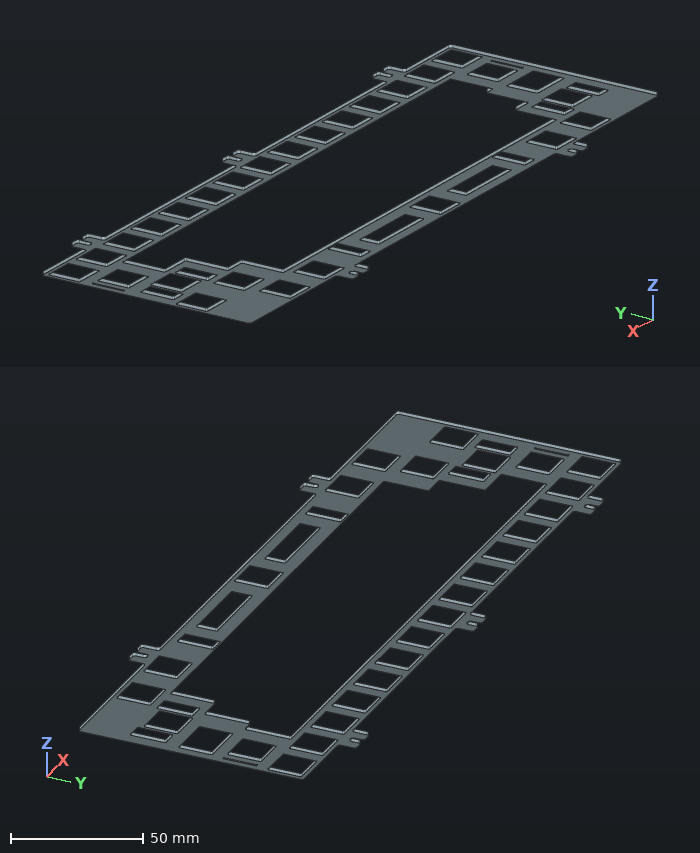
import cadquery as cq


length = 284.7
overall_depth = 108.2
plate_depth = 93.7
thickness = 1.5
plate_corner_radius = 1.0
opening_corner_radius = 0.5

columns = 15
column_span = 266.8
key_unit = column_span / (columns - 1)
last_column = (columns - 1) / 2
number_row, tab_row, caps_row, shift_row, space_row = 2, 1, 0, -1, -2

tab_column = 6.75
enter_column = 6.375
left_shift_column = -6.375
right_shift_column = 5.625
space_bar_column = 0

switch_size = 14.0
switch_places = [(index - last_column, number_row) for index in range(columns)]
switch_places += [(column, tab_row) for column in (-tab_column, tab_column)]
switch_places += [(enter_column, caps_row)]
switch_places += [(column, shift_row) for column in (left_shift_column, right_shift_column, last_column)]
switch_places += [(column, space_row) for column in (-5.5, -4.25, space_bar_column, 4.25, 5.5)]

caps_x = -129.0
caps_width = 18.8

stabilizer_width = 6.8
stabilizer_depth = 14.8
wide_key_spread = 12.0
wide_key_stabilizer_offset = -1.5
space_bar_spread = 3 * key_unit
space_bar_stabilizer_offset = 1.7

slit_width = 0.9
slit_x = 139.0

long_slot_length = 31.5
long_slot_depth = 8.5
long_slot_places = [-30.7, 30.2]

opening_back = 1.5 * key_unit
opening_front = -28.2
row_edge = key_unit / 2
left_sides = (-6, -5.75, -5.25)
right_sides = (6, 5.25, 4.75)

tab_width = 12.0
tab_root_radius = 1.0
tab_tip_radius = 1.0
notch_width = 2.8
notch_depth = 5.0
notch_floor_radius = 1.0
back, front = 1, -1
tab_places = [(column, back) for column in (-5.5, 0, 5.5)]
tab_places += [(column, front) for column in (-4, 4)]


def block(x, y, width, depth):
    """Block of the plate thickness, centred on (x, y)."""
    return cq.Workplane("XY").center(x, y).rect(width, depth).extrude(thickness)


def round_edges_near(solid, x, y, width, depth, radius):
    """Round the upright edges inside a rectangle centred on (x, y)."""
    region = cq.selectors.BoxSelector(
        (x - width / 2, y - depth / 2, -thickness),
        (x + width / 2, y + depth / 2, 2 * thickness),
    )
    return solid.edges("|Z").edges(region).fillet(radius)


def cut_opening(plate, opening):
    """Cut an opening with rounded corners."""
    return plate.cut(opening.edges("|Z").fillet(opening_corner_radius))


def mounting_tab(x, side):
    """Tab reaching out from the plate centre line, with a round-cornered notch in its tip."""
    reach = overall_depth / 2
    tip_y = side * reach
    floor_y = side * (reach - notch_depth)
    body = block(x, tip_y / 2, tab_width, reach)
    notch = block(x, (tip_y + floor_y) / 2, notch_width, notch_depth)
    notch = round_edges_near(notch, x, floor_y, 2 * notch_width, notch_depth, notch_floor_radius)
    return round_edges_near(body.cut(notch), x, tip_y, 2 * tab_width, notch_depth, tab_tip_radius)


def outline():
    """Rounded plate with its mounting tabs."""
    plate = block(0, 0, length, plate_depth).edges("|Z").fillet(plate_corner_radius)
    for column, side in tab_places:
        x = column * key_unit
        plate = plate.union(mounting_tab(x, side))
        root_y = side * plate_depth / 2
        root_width = tab_width + 2 * tab_root_radius
        plate = round_edges_near(plate, x, root_y, root_width, 2 * tab_root_radius, tab_root_radius)
    return plate


def central_opening():
    """Opening whose sides step inward, row by row, toward the front."""
    levels = [opening_back, row_edge, -row_edge, opening_front]
    left = []
    right = []
    for index in range(len(left_sides)):
        for y in levels[index:index + 2]:
            left.append((left_sides[index] * key_unit, y))
            right.append((right_sides[index] * key_unit, y))
    return cq.Workplane("XY").polyline(right + left[::-1]).close().extrude(thickness)


def cut_stabilizers(plate, column, row, spread, offset):
    """Cut two upright openings left and right of a wide key."""
    y = row * key_unit + offset
    for side in (-1, 1):
        x = column * key_unit + side * spread
        plate = cut_opening(plate, block(x, y, stabilizer_width, stabilizer_depth))
    return plate


result = outline()
result = cut_opening(result, central_opening())

for column, row in switch_places:
    opening = block(column * key_unit, row * key_unit, switch_size, switch_size)
    result = cut_opening(result, opening)
result = cut_opening(result, block(caps_x, caps_row * key_unit, caps_width, switch_size))

for column, row in [(enter_column, caps_row), (left_shift_column, shift_row)]:
    result = cut_stabilizers(result, column, row, wide_key_spread, wide_key_stabilizer_offset)
result = cut_stabilizers(
    result, space_bar_column, space_row, space_bar_spread, space_bar_stabilizer_offset
)

for x in (-slit_x, slit_x):
    result = result.cut(block(x, tab_row * key_unit, slit_width, switch_size))
for x in long_slot_places:
    result = cut_opening(result, block(x, space_row * key_unit, long_slot_length, long_slot_depth))